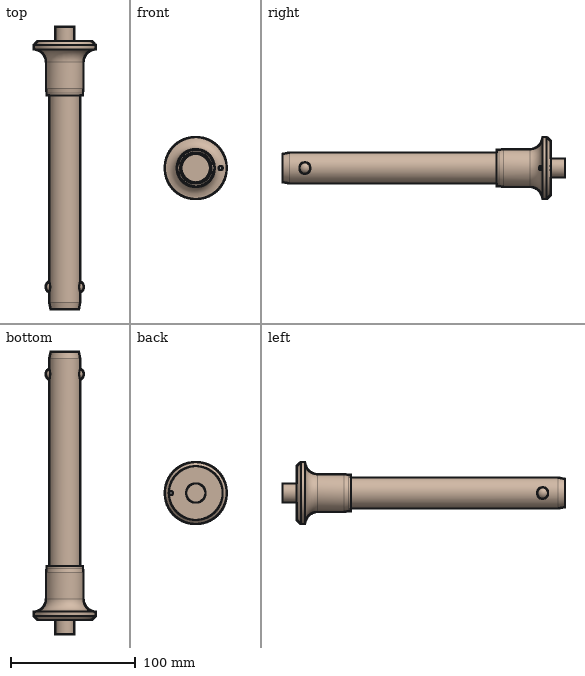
import cadquery as cq
import math


shank_length = 171.8
shank_diameter = 25.0
tip_diameter = 22.9
tip_taper_length = 5.5

ball_diameter = 9.5
ball_span = 30.8
ball_from_tip = 18.0

ring_diameter = 29.4
ring_length = 2.0
grip_taper_length = 3.5
grip_diameter = 30.5
grip_length = 21.3
flare_length = 10.0
flange_diameter = 50.0
flange_rim_length = 3.5
flange_chamfer = 3.4

button_diameter = 15.5
button_length = 11.3

lanyard_hole_diameter = 3.0
lanyard_hole_offset = 20.0

tip_y = -shank_length
grip_start_y = ring_length + grip_taper_length
flare_start_y = grip_start_y + grip_length
rim_start_y = flare_start_y + flare_length
rim_end_y = rim_start_y + flange_rim_length
flange_top_y = rim_end_y + flange_chamfer
button_top_y = flange_top_y + button_length


def flare_midpoint():
    """Middle (radius, y) of the concave arc that leaves the grip tangentially and meets the flange rim."""
    rise = (flange_diameter - grip_diameter) / 2
    radius = (rise**2 + flare_length**2) / (2 * rise)
    half_sweep = math.atan2(rise, flare_length)
    r = grip_diameter / 2 + radius * (1 - math.cos(half_sweep))
    y = flare_start_y + radius * math.sin(half_sweep)
    return (r, y)


def turned_body():
    """Half section (radius, y) of shank, handle and button, turned about Y."""
    profile = (
        cq.Workplane("XY")
        .moveTo(0, tip_y)
        .lineTo(tip_diameter / 2, tip_y)
        .lineTo(shank_diameter / 2, tip_y + tip_taper_length)
        .lineTo(shank_diameter / 2, 0)
        .lineTo(ring_diameter / 2, 0)
        .lineTo(ring_diameter / 2, ring_length)
        .lineTo(grip_diameter / 2, grip_start_y)
        .lineTo(grip_diameter / 2, flare_start_y)
        .threePointArc(flare_midpoint(), (flange_diameter / 2, rim_start_y))
        .lineTo(flange_diameter / 2, rim_end_y)
        .lineTo(flange_diameter / 2 - flange_chamfer, flange_top_y)
        .lineTo(button_diameter / 2, flange_top_y)
        .lineTo(button_diameter / 2, button_top_y)
        .lineTo(0, button_top_y)
        .close()
    )
    return profile.revolve(360, (0, 0, 0), (0, 1, 0))


def locking_ball(side):
    """Ball on the +X (side = 1) or -X (side = -1) flank of the shank."""
    center_x = side * (ball_span - ball_diameter) / 2
    center_y = tip_y + ball_from_tip
    return cq.Workplane("XY").sphere(ball_diameter / 2).translate((center_x, center_y, 0))


def lanyard_hole():
    """Round cutter parallel to Y, passing through flare and flange."""
    return (
        cq.Workplane("XZ", origin=(lanyard_hole_offset, flange_top_y, 0))
        .circle(lanyard_hole_diameter / 2)
        .extrude(flange_top_y - flare_start_y)
    )


result = turned_body()
for side in (1, -1):
    result = result.union(locking_ball(side))
result = result.cut(lanyard_hole())